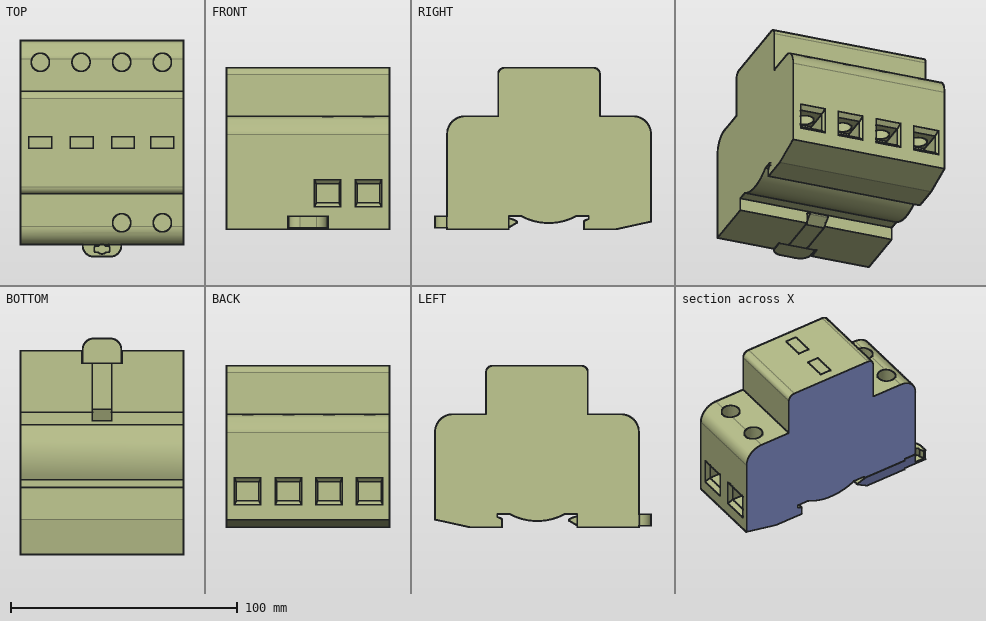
import cadquery as cq


width = 71.9
housing_depth = 90.0
height = 71.3
shoulder_z = 50.0
tower_depth = 45.0
shoulder_radius = 8.0
tower_radius = 3.0
base_slope_run = 15.7
base_slope_rise = 3.4
back_y = housing_depth / 2
front_y = -back_y
tower_y = tower_depth / 2

slot_front_y = -17.7
slot_back_y = 17.45
slot_top_z = 5.9
slot_mid_y = (slot_front_y + slot_back_y) / 2
bulge_width = 24.4
bulge_low_z = 2.8
lip_y = 15.35
lip_upper_z = 4.7
lip_lower_z = 3.8
lip_round = 0.4

pole_pitch = 17.9
pole_last_x = 26.6
pole_count = 4
front_pole_count = 2
pole_xs = [pole_last_x - pole_pitch * i for i in range(pole_count)]

mouth_width = 11.7
mouth_height = 12.0
cavity_width = 10.0
cavity_height = 8.3
terminal_z = 15.9
mouth_taper_depth = 2.0
terminal_depth = 14.3

screw_diameter = 8.0
screw_y = 35.4

window_width = 10.1
window_depth = 5.2
window_thickness = 1.0
window_xs = [-27.2, -9.0, 9.25, 26.5]

overall_depth = 95.35
clip_protrusion = overall_depth - housing_depth
head_bottom_z = 0.7
head_width = 17.2
head_top_z = slot_top_z
head_corner_radius = 5.0
head_inner_length = 5.7
head_side_gap = 0.3
tongue_width = 8.6
tongue_top_z = 5.0
nose_slope_y = -19.2
nose_tip_y = -13.6
nose_tip_z = 3.2
nose_arc_y = -15.7
nose_arc_z = 4.4
nose_round = 0.5
head_front_y = front_y - clip_protrusion
head_back_y = front_y + head_inner_length

recess_offset = 2.0
recess_diameter = 4.3
recess_slot_length = 6.7
recess_slot_width = 2.8
recess_slot_round = 0.6
recess_depth = 4.0


def extrude_across(profile, length):
    """Extrude a closed profile in the YZ plane by the given length, centred on X = 0."""
    return profile.close().extrude(length / 2, both=True)


def box_between(x_size, y_min, y_max, z_min, z_max):
    """A box centred on X = 0 that spans the given Y and Z limits."""
    return (
        cq.Workplane("XY", origin=(0, (y_min + y_max) / 2, z_min))
        .rect(x_size, y_max - y_min)
        .extrude(z_max - z_min)
    )


def x_edges_near(y, z):
    """Selector for the edge that runs along X at the given Y and Z."""
    reach = 0.5
    return cq.selectors.BoxSelector((-width, y - reach, z - reach), (width, y + reach, z + reach))


def housing_blank():
    profile = (
        cq.Workplane("YZ")
        .moveTo(front_y, 0)
        .lineTo(front_y, shoulder_z)
        .lineTo(-tower_y, shoulder_z)
        .lineTo(-tower_y, height)
        .lineTo(tower_y, height)
        .lineTo(tower_y, shoulder_z)
        .lineTo(back_y, shoulder_z)
        .lineTo(back_y, base_slope_rise)
        .lineTo(back_y - base_slope_run, 0)
        .lineTo(lip_y, 0)
        .lineTo(lip_y, lip_lower_z)
        .lineTo(slot_back_y, lip_upper_z)
        .lineTo(slot_back_y, slot_top_z)
        .lineTo(slot_mid_y + bulge_width / 2, slot_top_z)
        .threePointArc((slot_mid_y, bulge_low_z), (slot_mid_y - bulge_width / 2, slot_top_z))
        .lineTo(slot_front_y, slot_top_z)
        .lineTo(slot_front_y, 0)
    )
    body = extrude_across(profile, width)
    shoulder_edges = x_edges_near(front_y, shoulder_z) + x_edges_near(back_y, shoulder_z)
    body = body.edges(shoulder_edges).fillet(shoulder_radius)
    body = body.faces(">Z").edges("|X").fillet(tower_radius)
    lip_edges = x_edges_near(lip_y, 0) + x_edges_near(lip_y, lip_lower_z)
    return body.edges(lip_edges).fillet(lip_round)


def terminal_cutter(x, side):
    """Terminal opening and screw hole of one pole; side is -1 at the front and +1 at the back."""
    mouth_plane = cq.Plane(origin=(x, side * back_y, terminal_z), xDir=(1, 0, 0), normal=(0, -side, 0))
    mouth = (
        cq.Workplane(mouth_plane)
        .rect(mouth_width, mouth_height)
        .workplane(offset=mouth_taper_depth)
        .rect(cavity_width, cavity_height)
        .loft(ruled=True)
    )
    cavity = cq.Workplane(mouth_plane).rect(cavity_width, cavity_height).extrude(terminal_depth)
    screw_hole = (
        cq.Workplane("XY", origin=(x, side * screw_y, terminal_z))
        .circle(screw_diameter / 2)
        .extrude(height - terminal_z)
    )
    return mouth.union(cavity).union(screw_hole)


def clip_channel():
    """Passage for the clip, open at the base."""
    head_space = box_between(head_width + 2 * head_side_gap, front_y, head_back_y, 0, head_top_z)
    tongue_space = box_between(tongue_width, head_back_y, slot_front_y, 0, tongue_top_z)
    return head_space.union(tongue_space)


def make_window(x):
    return (
        cq.Workplane("XY", origin=(x, 0, height - window_thickness))
        .rect(window_width, window_depth)
        .extrude(window_thickness)
    )


def make_housing(windows):
    body = housing_blank().cut(clip_channel())
    for x in pole_xs:
        body = body.cut(terminal_cutter(x, 1))
    for x in pole_xs[:front_pole_count]:
        body = body.cut(terminal_cutter(x, -1))
    for window in windows:
        body = body.cut(window)
    return body


def clip_recess():
    recess = cq.Workplane("XY", origin=(0, front_y - recess_offset, head_top_z))
    round_hole = recess.circle(recess_diameter / 2).extrude(-recess_depth)
    slot = recess.rect(recess_slot_length, recess_slot_width).extrude(-recess_depth)
    return round_hole.union(slot.edges("|Z").fillet(recess_slot_round))


def make_clip():
    head = box_between(head_width, head_front_y, head_back_y, head_bottom_z, head_top_z)
    head = head.faces("<Y").edges("|Z").fillet(head_corner_radius)
    tongue_profile = (
        cq.Workplane("YZ")
        .moveTo(head_back_y, 0)
        .lineTo(nose_slope_y, 0)
        .lineTo(nose_tip_y, nose_tip_z)
        .threePointArc((nose_arc_y, nose_arc_z), (slot_front_y, tongue_top_z))
        .lineTo(head_back_y, tongue_top_z)
    )
    tongue = extrude_across(tongue_profile, tongue_width)
    tongue = tongue.edges("|X and >Y").fillet(nose_round)
    return head.union(tongue).cut(clip_recess())


windows = [make_window(x) for x in window_xs]
housing = make_housing(windows)
clip = make_clip()

result = cq.Compound.makeCompound([housing.val(), clip.val(), *[window.val() for window in windows]])